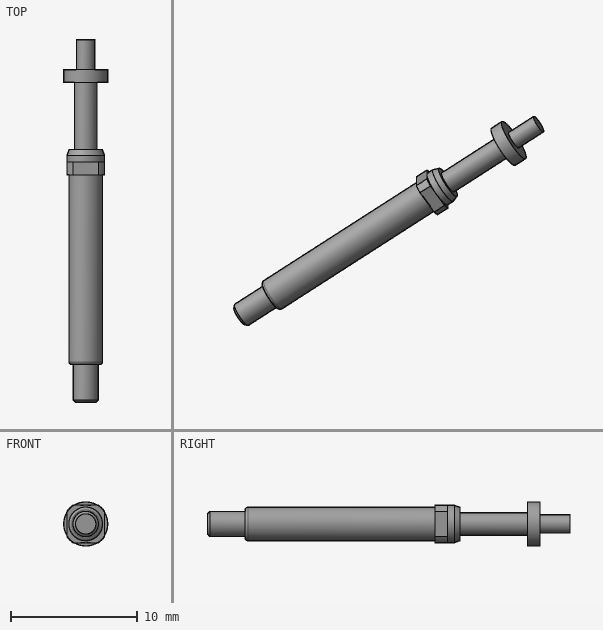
import cadquery as cq

total_length = 28.7

tip_diameter = 2.0
tip_length = 2.98
tip_chamfer = 0.2

barrel_diameter = 2.67
barrel_length = 15.0
barrel_edge_radius = 0.23

collar_length = 2.0
nut_length = 1.0
nut_width = 2.98
nut_corner_diameter = 3.6
collar_diameter = nut_width
collar_taper_length = 0.45
collar_end_diameter = 2.65

plunger_diameter = 1.8
plunger_length = 5.3

flange_diameter = 3.5
flange_length = 1.0

pin_diameter = 1.45

barrel_start = tip_length
nut_start = barrel_start + barrel_length
collar_start = nut_start + nut_length
plunger_start = nut_start + collar_length
flange_start = plunger_start + plunger_length
pin_start = flange_start + flange_length


def rod(diameter, start, end):
    """Round bar centred on the Y axis between two stations."""
    axis_plane = cq.Plane(origin=(0, start, 0), xDir=(1, 0, 0), normal=(0, 1, 0))
    return cq.Workplane(axis_plane).circle(diameter / 2).extrude(end - start)


def tip():
    """Front rod with a chamfered free end."""
    return rod(tip_diameter, 0, barrel_start).faces("<Y").chamfer(tip_chamfer)


def barrel():
    """Long body with a rounded front edge."""
    return rod(barrel_diameter, barrel_start, nut_start).faces("<Y").edges().fillet(barrel_edge_radius)


def nut():
    """Four wrench flats cut on a round bar, which leaves rounded corners between them."""
    square_bar = (
        cq.Workplane("XY")
        .box(nut_width, nut_length, nut_width)
        .translate((0, nut_start + nut_length / 2, 0))
    )
    return rod(nut_corner_diameter, nut_start, collar_start).intersect(square_bar)


def collar():
    """Round collar behind the nut, narrowing to a cone at its +Y end."""
    radial_step = (collar_diameter - collar_end_diameter) / 2
    return (
        rod(collar_diameter, collar_start, plunger_start)
        .faces(">Y")
        .edges()
        .chamfer(collar_taper_length, radial_step)
    )


plunger = rod(plunger_diameter, plunger_start, flange_start)
flange = rod(flange_diameter, flange_start, pin_start)
pin = rod(pin_diameter, pin_start, total_length)

result = tip()
for section in (barrel(), nut(), collar(), plunger, flange, pin):
    result = result.union(section)